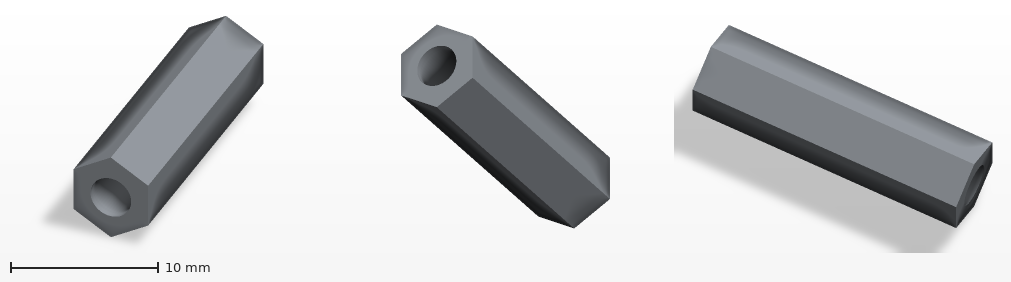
import cadquery as cq
import math

across_flats = 5.5
length = 20.0
bore_diameter = 3.0

across_corners = across_flats / math.cos(math.radians(30))


def hex_body():
    """Hexagonal bar centred on the origin, flats facing +X/-X and corners at +Z/-Z."""
    bar = cq.Workplane("XY").polygon(6, across_corners).extrude(length / 2, both=True)
    corner_up = bar.rotate((0, 0, 0), (0, 0, 1), 90)
    return corner_up.rotate((0, 0, 0), (1, 0, 0), 90)


def bore():
    """Cylinder along Y that runs the full length of the bar."""
    return cq.Workplane("XZ").circle(bore_diameter / 2).extrude(length / 2, both=True)


result = hex_body().cut(bore())